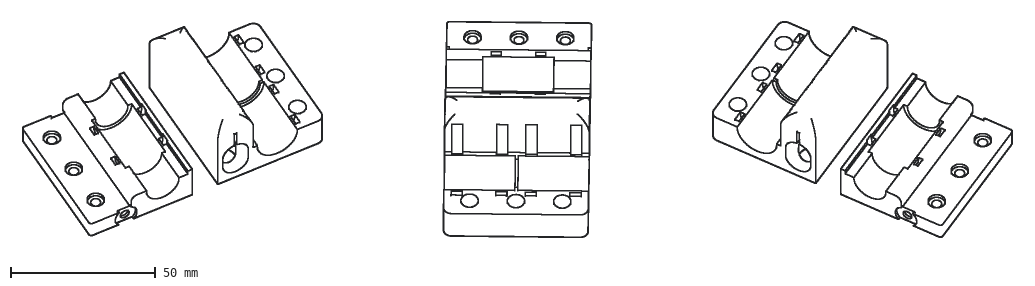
import cadquery as cq

width = 50.0
total_length = 92.0
total_height = 28.0
deck_height = 12.0

bore_axis_drop = 0.5
bore_radius = 7.8
grip_radius = 6.35
bore_axis_z = deck_height - bore_axis_drop

tie_inner_radius = 8.6
tie_outer_radius = 10.2
tie_pitch = 15.5

screw_diameter = 3.4
screw_head_diameter = 6.0
screw_pitch = 16.0
screw_floor_height = 5.0

tower_depth = 14.0
tower_front_y = 50.0
tower_fillet = 5.0
tower_back_y = tower_front_y + tower_depth
tower_axis_y = tower_front_y + tower_depth / 2
rear_bore_y = 73.3
rear_screw_y = 86.0
rear_corner_radius = 2.8
rib_width = 1.0
rear_tie_width = 3.9
rear_tie_group_offset = 12.8
channel_width = 9.9
channel_height = 14.0
channel_floor_z = 3.0
slit_width = 1.0
outlet_diameter = 9.0
outlet_offset = 15.6

front_length = 40.0
lip_height = 13.5
lip_thickness = 1.75
front_wall_y = 16.0
front_wall_fillet = 2.5
plate_height = 6.35
plate_corner_radius = 1.0
front_bore_y = 28.4
front_screw_y = 7.0
pocket_length = 24.6
front_tie_width = 3.4
side_recess_y = 14.1
side_recess_z = 3.0
side_recess_radius = 4.2
side_recess_depth = 1.0
side_hole_depth = 2 * side_recess_depth


def block(y_front, y_back, height):
    """Full-width box standing on the base plane."""
    depth = y_back - y_front
    return cq.Workplane("XY", origin=(0, y_front, 0)).box(width, depth, height, centered=(True, False, False))


def cylinder_along_x(radius, length, x_centre, y, z):
    """Lying cylinder centred on x_centre."""
    return cq.Workplane("YZ", origin=(x_centre - length / 2, y, z)).circle(radius).extrude(length)


def bore_trough(radius, length, x_centre, y):
    """Round-bottomed trough along X with straight sides from its axis up to the deck."""
    sides = cq.Workplane("XY", origin=(x_centre, y, bore_axis_z)).box(
        length, 2 * radius, bore_axis_drop, centered=(True, True, False)
    )
    return cylinder_along_x(radius, length, x_centre, y, bore_axis_z).union(sides)


def screw_holes(y, top_z):
    """Row of three counterbored holes, opening at top_z."""
    spots = [(i * screw_pitch, y) for i in (-1, 0, 1)]
    shanks = cq.Workplane("XY").pushPoints(spots).circle(screw_diameter / 2).extrude(top_z)
    heads = (
        cq.Workplane("XY", origin=(0, 0, screw_floor_height))
        .pushPoints(spots)
        .circle(screw_head_diameter / 2)
        .extrude(top_z - screw_floor_height)
    )
    return shanks.union(heads)


def tie_channel(x, y, tie_width):
    """U-shaped channel: half ring under the bore, with both legs running straight up."""
    return (
        cq.Workplane("YZ", origin=(x - tie_width / 2, y, bore_axis_z))
        .moveTo(-tie_outer_radius, total_height)
        .lineTo(-tie_outer_radius, 0)
        .threePointArc((0, -tie_outer_radius), (tie_outer_radius, 0))
        .lineTo(tie_outer_radius, total_height)
        .lineTo(tie_inner_radius, total_height)
        .lineTo(tie_inner_radius, 0)
        .threePointArc((0, -tie_inner_radius), (-tie_inner_radius, 0))
        .lineTo(-tie_inner_radius, total_height)
        .close()
        .extrude(tie_width)
    )


def make_rear_clamp():
    base = block(tower_front_y, total_length, deck_height).edges("|Z and >Y").fillet(rear_corner_radius)
    tower = block(tower_front_y, tower_back_y, total_height).faces(">Z").edges().fillet(tower_fillet)
    body = base.union(tower)

    side_length = (width - rib_width) / 2
    for side in (-1, 1):
        x = side * (rib_width + side_length) / 2
        body = body.cut(bore_trough(bore_radius, side_length, x, rear_bore_y))
    body = body.cut(bore_trough(grip_radius, width, 0, rear_bore_y))

    channel_axis_z = channel_floor_z + channel_height / 2
    channel = (
        cq.Workplane("YZ", origin=(-width / 2, tower_axis_y, channel_axis_z))
        .slot2D(channel_height, channel_width, 90)
        .extrude(width)
    )
    slit_height = total_height - tower_fillet - channel_axis_z
    slit = cq.Workplane("XY", origin=(0, tower_axis_y, channel_axis_z)).box(
        width, slit_width, slit_height, centered=(True, True, False)
    )
    body = body.cut(channel).cut(slit)

    outlets = (
        cq.Workplane("XY")
        .pushPoints([(-outlet_offset, tower_axis_y), (outlet_offset, tower_axis_y)])
        .circle(outlet_diameter / 2)
        .extrude(channel_axis_z)
    )
    body = body.cut(outlets)

    for group in (-1, 1):
        for side in (-1, 1):
            x = group * rear_tie_group_offset + side * tie_pitch / 2
            body = body.cut(tie_channel(x, rear_bore_y, rear_tie_width))

    return body.cut(screw_holes(rear_screw_y, deck_height))


def make_front_clamp():
    plate = block(0, front_length, plate_height).edges("|Z and <Y").fillet(plate_corner_radius)
    saddle = block(front_wall_y, front_length, deck_height)
    saddle = saddle.edges("|X and >Z and <Y").fillet(front_wall_fillet)
    lip = block(front_length - lip_thickness, front_length, lip_height)
    body = plate.union(saddle).union(lip)

    body = body.cut(bore_trough(grip_radius, width, 0, front_bore_y))
    body = body.cut(bore_trough(bore_radius, pocket_length, 0, front_bore_y))

    for side in (-1, 1):
        body = body.cut(tie_channel(side * tie_pitch / 2, front_bore_y, front_tie_width))

    for side in (-1, 1):
        x = side * width / 2
        recess = cylinder_along_x(side_recess_radius, 2 * side_recess_depth, x, side_recess_y, side_recess_z)
        hole = cylinder_along_x(screw_diameter / 2, 2 * side_hole_depth, x, side_recess_y, side_recess_z)
        body = body.cut(recess).cut(hole)

    return body.cut(screw_holes(front_screw_y, plate_height))


rear_clamp = make_rear_clamp()
front_clamp = make_front_clamp()
result = cq.Compound.makeCompound([rear_clamp.solids().val(), front_clamp.solids().val()])